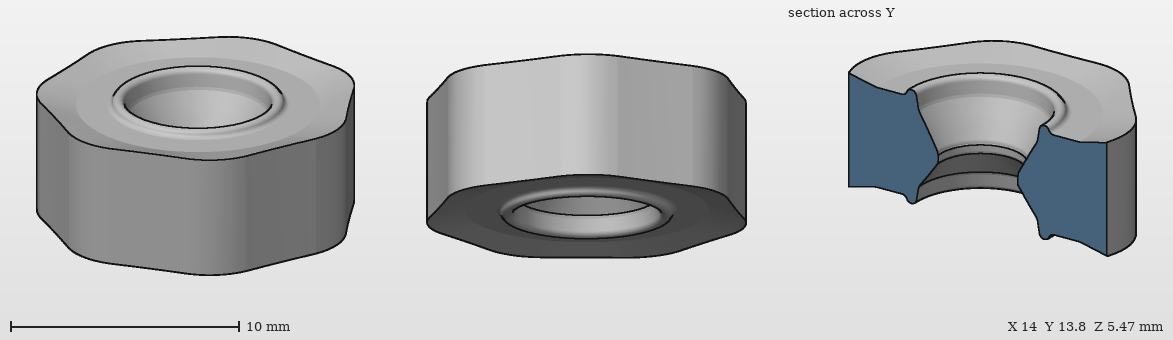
import math

import cadquery as cq

LOBES = 7
THICKNESS = 5.47
TIP_RADIUS = 7.093
HALF_THICKNESS = THICKNESS / 2
HALF_PITCH = 180 / LOBES

CREST_RADIUS = 3.0
CREST_HALF_TURN = 24.4
BLEND_RADIUS = 1.72
VALLEY_HALF_TURN = 1.7

SEAT_RADIUS = 5.35
SEAT_DEPTH = 0.335
SEAT_HEIGHT = HALF_THICKNESS - SEAT_DEPTH

COLLAR_OUTER_RADIUS = 4.01
COLLAR_CREST_RADIUS = 3.51
COLLAR_LIP_RADIUS = 0.285

MOUTH_TAPER = 9.5
MOUTH_END_RADIUS = 3.135
CONE_TOP_RADIUS = 3.09
CONE_TOP_HEIGHT = 1.80
THROAT_RADIUS = 2.09
THROAT_TOP = -0.06
THROAT_BOTTOM = -0.36
THROAT_EDGE_RADIUS = 2.115
UPPER_BEVEL_HEIGHT = 0.01
LOWER_BEVEL_HEIGHT = -0.48
THROAT_ROUNDING = 0.33
CONE_HALF_ANGLE = 28


def offset(point, distance, angle):
    """Point at a distance from another point, in a direction given in degrees."""
    turn = math.radians(angle)
    return (point[0] + distance * math.cos(turn), point[1] + distance * math.sin(turn))


def lobe_arcs(tip_angle):
    """Start, middle and end points of the four arcs from one lobe's crest to the next lobe."""
    origin = (0, 0)
    valley_angle = tip_angle + HALF_PITCH
    next_tip_angle = valley_angle + HALF_PITCH
    blend_turn = HALF_PITCH + VALLEY_HALF_TURN
    blend_middle_turn = (CREST_HALF_TURN + blend_turn) / 2

    def crest_side(angle, side):
        """Crest end, blend middle and blend end on one side (+1 or -1) of a lobe tip."""
        crest_centre = offset(origin, TIP_RADIUS - CREST_RADIUS, angle)
        crest_end = offset(crest_centre, CREST_RADIUS, angle + side * CREST_HALF_TURN)
        blend_centre = offset(crest_end, -BLEND_RADIUS, angle + side * CREST_HALF_TURN)
        blend_middle = offset(blend_centre, BLEND_RADIUS, angle + side * blend_middle_turn)
        blend_end = offset(blend_centre, BLEND_RADIUS, angle + side * blend_turn)
        return crest_end, blend_middle, blend_end

    crest_start = crest_side(tip_angle, -1)[0]
    tip = offset(origin, TIP_RADIUS, tip_angle)
    crest_end, blend_middle, valley_start = crest_side(tip_angle, 1)
    next_crest, next_blend_middle, valley_end = crest_side(next_tip_angle, -1)

    half_chord = math.dist(valley_start, valley_end) / 2
    sag = half_chord * math.tan(math.radians(VALLEY_HALF_TURN) / 2)
    chord_distance = math.sqrt(math.hypot(*valley_start) ** 2 - half_chord**2)
    valley_middle = offset(origin, chord_distance - sag, valley_angle)

    return [
        (crest_start, tip, crest_end),
        (crest_end, blend_middle, valley_start),
        (valley_start, valley_middle, valley_end),
        (valley_end, next_blend_middle, next_crest),
    ]


def outline_arcs():
    """All arcs of the outline, with the first lobe pointing along +Y."""
    arcs = []
    for lobe in range(LOBES):
        arcs += lobe_arcs(90 + lobe * 2 * HALF_PITCH)
    return arcs


def arc_wire(arcs, height):
    """Closed wire of three-point arcs at the given height."""
    edges = []
    for arc in arcs:
        points = [cq.Vector(x, y, height) for x, y in arc]
        edges.append(cq.Edge.makeThreePointArc(*points))
    return cq.Wire.assembleEdges(edges)


def onto_seat_circle(point):
    """Move a point radially onto the seat circle."""
    scale = SEAT_RADIUS / math.hypot(*point)
    return (point[0] * scale, point[1] * scale)


def chip_breaker():
    """Dish removed from the top: its wall falls radially from the outline to the seat circle."""
    rim = outline_arcs()
    seat = [[onto_seat_circle(point) for point in arc] for arc in rim]
    wires = [arc_wire(seat, SEAT_HEIGHT), arc_wire(rim, HALF_THICKNESS)]
    return cq.Workplane(obj=cq.Solid.makeLoft(wires, True))


def body():
    """Lobed prism with a chip breaker on both faces."""
    base = arc_wire(outline_arcs(), -HALF_THICKNESS)
    prism = cq.Solid.extrudeLinear(base, [], cq.Vector(0, 0, THICKNESS))
    dish = chip_breaker()
    return cq.Workplane(obj=prism).cut(dish).cut(dish.mirror("XY"))


def core():
    """Revolved centre of the insert: both collars and the wall of the screw hole."""
    flank_width = COLLAR_OUTER_RADIUS - COLLAR_CREST_RADIUS
    flank_turn = 2 * math.atan2(SEAT_DEPTH, flank_width)
    flank_radius = flank_width / (2 * math.sin(flank_turn))
    half_run = flank_radius * math.sin(flank_turn / 2)
    half_rise = flank_radius * (1 - math.cos(flank_turn / 2))
    flank_foot = (COLLAR_OUTER_RADIUS, SEAT_HEIGHT)
    foot_middle = (COLLAR_OUTER_RADIUS - half_run, SEAT_HEIGHT + half_rise)
    inflection = (COLLAR_OUTER_RADIUS - flank_width / 2, SEAT_HEIGHT + SEAT_DEPTH / 2)
    brow_middle = (COLLAR_CREST_RADIUS + half_run, HALF_THICKNESS - half_rise)
    crest = (COLLAR_CREST_RADIUS, HALF_THICKNESS)

    lip_centre = (COLLAR_CREST_RADIUS, HALF_THICKNESS - COLLAR_LIP_RADIUS)
    lip_end_angle = 180 - MOUTH_TAPER
    lip_middle = offset(lip_centre, COLLAR_LIP_RADIUS, (90 + lip_end_angle) / 2)
    mouth_top = offset(lip_centre, COLLAR_LIP_RADIUS, lip_end_angle)
    mouth_slope = math.tan(math.radians(MOUTH_TAPER))
    mouth_end_height = mouth_top[1] - (mouth_top[0] - MOUTH_END_RADIUS) / mouth_slope
    mouth_end = (MOUTH_END_RADIUS, mouth_end_height)
    cone_top = (CONE_TOP_RADIUS, CONE_TOP_HEIGHT)

    rounding_centre = (THROAT_EDGE_RADIUS + THROAT_ROUNDING, UPPER_BEVEL_HEIGHT)
    cone_end = offset(rounding_centre, THROAT_ROUNDING, 180 - CONE_HALF_ANGLE)
    rounding_middle = offset(rounding_centre, THROAT_ROUNDING, 180 - CONE_HALF_ANGLE / 2)

    def below(point):
        """Mirror image of a profile point in the mid-plane."""
        return (point[0], -point[1])

    profile = (
        cq.Workplane("XZ")
        .moveTo(*flank_foot)
        .threePointArc(foot_middle, inflection)
        .threePointArc(brow_middle, crest)
        .threePointArc(lip_middle, mouth_top)
        .lineTo(*mouth_end)
        .lineTo(*cone_top)
        .lineTo(*cone_end)
        .threePointArc(rounding_middle, (THROAT_EDGE_RADIUS, UPPER_BEVEL_HEIGHT))
        .lineTo(THROAT_RADIUS, THROAT_TOP)
        .lineTo(THROAT_RADIUS, THROAT_BOTTOM)
        .lineTo(THROAT_EDGE_RADIUS, LOWER_BEVEL_HEIGHT)
        .lineTo(*below(cone_top))
        .lineTo(*below(mouth_end))
        .lineTo(*below(mouth_top))
        .threePointArc(below(lip_middle), below(crest))
        .threePointArc(below(brow_middle), below(inflection))
        .threePointArc(below(foot_middle), below(flank_foot))
        .close()
    )
    return profile.revolve(360, (0, 0), (0, 1))


core_bore = cq.Workplane("XY").cylinder(THICKNESS, COLLAR_OUTER_RADIUS)
result = body().cut(core_bore).union(core())